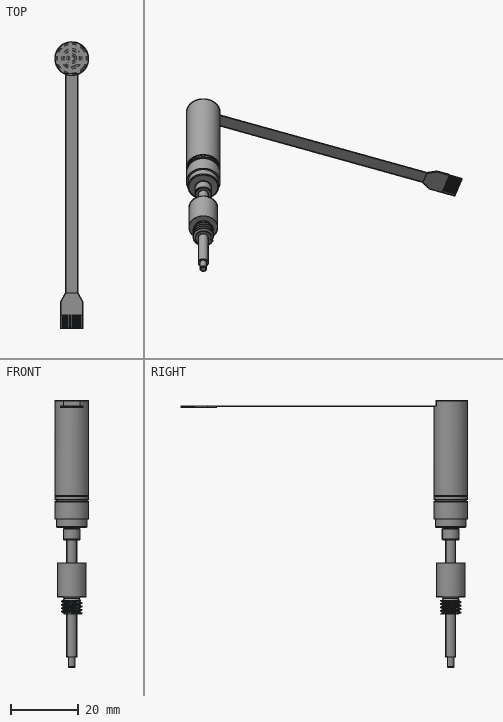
import cadquery as cq
import math

top_z = 79.1
barrel_bottom_z = 51.0
ring_bottom_z = 49.9
collar_top_z = 49.4
collar_bottom_z = 44.0
spigot_bottom_z = 41.6
boss_top_z = 41.3
boss_bottom_z = 37.8
sleeve_top_z = 31.0
sleeve_bottom_z = 21.0
thread_top_z = 19.9
thread_bottom_z = 15.8
rod_bottom_z = 3.15

barrel_diameter = 10.0
groove_diameter = 9.0
spigot_diameter = 9.1
boss_diameter = 5.0
boss_neck_diameter = 4.5
sleeve_diameter = 8.5
rod_diameter = 3.0
tip_diameter = 2.0
edge_chamfer = 0.25

thread_diameter = 6.0
thread_root_diameter = 4.7
thread_relief_diameter = 5.0
relief_waist_diameter = 4.5
thread_pitch = 1.0
thread_turns = 5
thread_start_angle = -90
thread_root_width = 0.85
thread_crest_width = 0.13
thread_overlap = 0.1

flat_chord = 5.0
flat_height = 1.5
ribbon_width = 3.65
ribbon_thickness = 0.25
connector_width = 6.6
connector_thickness = 0.5
connector_length = 10.5
taper_length = 2.6
pad_count = 11
pad_pitch = 0.5
pad_width = 0.3
pad_length = 4.0
pad_height = 0.25
total_length = 85

barrel_radius = barrel_diameter / 2
ribbon_top_z = top_z - flat_height
flat_y = -math.sqrt(barrel_radius**2 - (flat_chord / 2) ** 2)
cable_end_y = barrel_radius - total_length
connector_start_y = cable_end_y + connector_length
taper_end_y = connector_start_y - taper_length


def cylinder(diameter, bottom_z, upper_z):
    """Solid cylinder on the Z axis between two heights."""
    return cq.Workplane("XY").workplane(offset=bottom_z).circle(diameter / 2).extrude(upper_z - bottom_z)


def box(width, y_start, y_end, bottom_z, height):
    """Box centred on X, spanning the given Y range."""
    return (
        cq.Workplane("XY")
        .box(width, y_end - y_start, height, centered=(True, False, False))
        .translate((0, y_start, bottom_z))
    )


def make_barrel():
    """Grooved housing with a flat where the ribbon cable leaves it."""
    barrel = cylinder(barrel_diameter, barrel_bottom_z, top_z)
    flat_cut = box(barrel_diameter, -barrel_diameter, flat_y, ribbon_top_z, flat_height)
    ring = cylinder(barrel_diameter, ring_bottom_z, barrel_bottom_z).faces(">Z").chamfer(edge_chamfer)
    groove = cylinder(groove_diameter, collar_top_z, ring_bottom_z)
    collar = cylinder(barrel_diameter, collar_bottom_z, collar_top_z).faces(">Z").chamfer(edge_chamfer)
    spigot = cylinder(spigot_diameter, spigot_bottom_z, collar_bottom_z).faces("<Z").chamfer(edge_chamfer)
    return barrel.cut(flat_cut).union(ring).union(groove).union(collar).union(spigot)


def make_probe():
    """Chamfered boss, long rod with its tip, and the sleeve around the rod."""
    neck = cylinder(boss_neck_diameter, boss_top_z, spigot_bottom_z)
    boss = cylinder(boss_diameter, boss_bottom_z, boss_top_z).faces("<Z or >Z").chamfer(edge_chamfer)
    rod = cylinder(rod_diameter, rod_bottom_z, boss_bottom_z)
    tip = cylinder(tip_diameter, 0, rod_bottom_z).faces("<Z").chamfer(edge_chamfer)
    sleeve = cylinder(sleeve_diameter, sleeve_bottom_z, sleeve_top_z)
    return neck.union(boss).union(rod).union(tip).union(sleeve)


def make_thread():
    """Threaded stub: waisted relief, plain core and one helical ridge cut off flat at both ends."""
    root_radius = thread_root_diameter / 2
    relief_radius = thread_relief_diameter / 2
    waist_z = (sleeve_bottom_z + thread_top_z) / 2
    core = (
        cq.Workplane("XZ")
        .moveTo(0, thread_bottom_z)
        .lineTo(root_radius, thread_bottom_z)
        .lineTo(root_radius, thread_top_z)
        .lineTo(relief_radius, thread_top_z)
        .lineTo(relief_waist_diameter / 2, waist_z)
        .lineTo(relief_radius, sleeve_bottom_z)
        .lineTo(0, sleeve_bottom_z)
        .close()
        .revolve(360, (0, 0), (0, 1))
    )
    inner_radius = root_radius - thread_overlap
    helix = cq.Wire.makeHelix(thread_pitch, thread_pitch * thread_turns, inner_radius)
    ridge = (
        cq.Workplane("XZ")
        .moveTo(inner_radius, -thread_root_width / 2)
        .lineTo(thread_diameter / 2, -thread_crest_width / 2)
        .lineTo(thread_diameter / 2, thread_crest_width / 2)
        .lineTo(inner_radius, thread_root_width / 2)
        .close()
        .sweep(cq.Workplane(obj=helix), isFrenet=True)
        .rotate((0, 0, 0), (0, 0, 1), thread_start_angle)
        .translate((0, 0, thread_bottom_z))
    )
    threaded_length = cylinder(2 * thread_diameter, thread_bottom_z, thread_top_z)
    return core.union(ridge.intersect(threaded_length))


def make_cable():
    """Flat ribbon with a thicker tapered connector, recessed at its end around a row of contact pads."""
    ribbon = box(ribbon_width, connector_start_y, 0, ribbon_top_z - ribbon_thickness, ribbon_thickness)
    half_outline = [
        (ribbon_width / 2, connector_start_y),
        (connector_width / 2, taper_end_y),
        (connector_width / 2, cable_end_y),
    ]
    mirrored_outline = [(-x, y) for x, y in reversed(half_outline)]
    connector = (
        cq.Workplane("XY")
        .workplane(offset=ribbon_top_z - connector_thickness)
        .polyline(half_outline + mirrored_outline)
        .close()
        .extrude(connector_thickness)
    )
    recess = box(
        connector_width, cable_end_y, cable_end_y + pad_length, ribbon_top_z - pad_height, pad_height
    )
    pads = (
        cq.Workplane("XY")
        .workplane(offset=ribbon_top_z - pad_height)
        .center(0, cable_end_y + pad_length / 2)
        .rarray(pad_pitch, 0.85, pad_count, 1)
        .rect(pad_width, pad_length)
        .extrude(pad_height)
    )
    return ribbon.union(connector).cut(recess).union(pads)


result = make_barrel().union(make_probe()).union(make_thread()).union(make_cable())